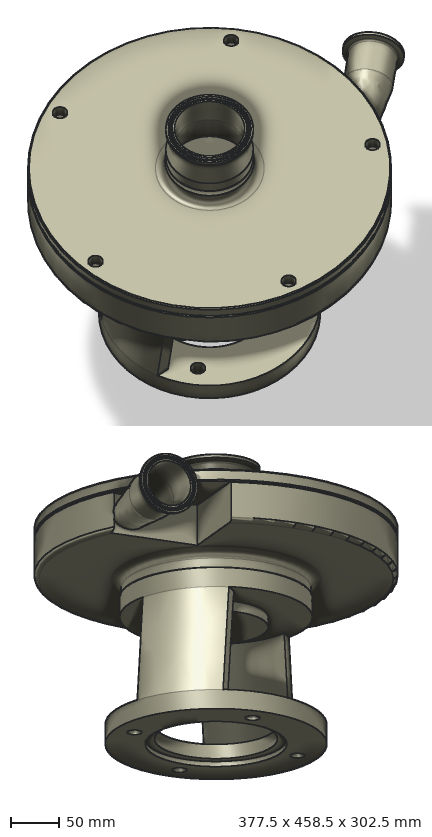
import cadquery as cq
import math

foot_top_z = 21.0
ring_bottom_z = 139.0
ring_top_z = 160.0
boss_bottom_z = 128.0
casing_bottom_z = 181.0
lid_bottom_z = 225.0
lid_top_z = 237.5
collar_top_z = 249.0
groove_z = 252.5
reducer_bottom_z = 255.0
reducer_shoulder_z = 268.0
reducer_neck_z = 288.5
inlet_top_z = 302.5

casing_diameter = 377.5
casing_radius = casing_diameter / 2
casing_bottom_fillet = 4.5
joint_chamfer = 1.5
neck_radius = 98.5
neck_fillet = 10.0
boss_radius = 54.0

weld_collar_radius = 46.5
weld_collar_fillet = 10.0
weld_groove_radius = 42.5
reducer_radius = 45.5
inlet_tube_radius = 38.5
inlet_bore_diameter = 73.0
inlet_bore_radius = inlet_bore_diameter / 2
inlet_flange_radius = 45.5
inlet_flare_top_z = 272.5
inlet_flare_radius = 42.0

flange_rim = 3.5
flange_bevel_height = 1.5
flange_fillet = 2.0
flange_length = flange_rim + flange_bevel_height + flange_fillet
gasket_groove_inset = 2.5
gasket_groove_flat = 1.5
gasket_groove_depth = 1.5

bolt_count = 5
bolt_circle_radius = 172.0
bolt_hole_diameter = 15.0

outlet_angle = 135
outlet_offset = 145.0
outlet_z = (casing_bottom_z + lid_bottom_z) / 2
outlet_face_distance = 204.5
outlet_taper_distance = 160.0
outlet_end_distance = 92.0
outlet_tube_radius = 25.5
outlet_bore_radius = 24.5
outlet_flange_radius = 32.0
outlet_end_half_width = 20.0
outlet_end_half_height = 15.0

recess_near_offset = 62.5
recess_far_offset = 160.5

foot_radius = 115.0
ring_radius = 100.0
foot_bore_radius = 64.0
foot_register_radius = 73.5
foot_register_depth = 5.5
foot_hole_count = 4
foot_hole_circle_radius = 92.5
foot_hole_start_angle = 45
foot_hole_diameter = 15.0
leg_width = 95.5
leg_thickness = 12.5


def revolve_about_z(outline):
    return outline.close().revolve(360, (0, 0, 0), (0, 1, 0))


def arc_middle(radius):
    """Distance from either tangent line to the middle of a quarter-circle arc."""
    return radius * (1 - math.sqrt(0.5))


def clamp_flange(tube_radius, bore_radius, flange_radius):
    """Clamp flange, not yet bored, with its face at z = 0 and its tube side below."""
    bevel_end = -flange_rim - flange_bevel_height
    fillet_middle = arc_middle(flange_fillet)
    groove_inner = bore_radius + gasket_groove_inset
    groove_outer = flange_radius - gasket_groove_inset
    groove_middle = (groove_inner + groove_outer) / 2
    return revolve_about_z(
        cq.Workplane("XZ")
        .moveTo(0, 0)
        .lineTo(groove_inner, 0)
        .lineTo(groove_middle - gasket_groove_flat / 2, -gasket_groove_depth)
        .lineTo(groove_middle + gasket_groove_flat / 2, -gasket_groove_depth)
        .lineTo(groove_outer, 0)
        .lineTo(flange_radius, 0)
        .lineTo(flange_radius, -flange_rim)
        .lineTo(tube_radius + flange_fillet, bevel_end)
        .threePointArc(
            (tube_radius + fillet_middle, bevel_end - fillet_middle),
            (tube_radius, -flange_length),
        )
        .lineTo(0, -flange_length)
    )


def make_casing():
    neck_arc_middle = arc_middle(neck_fillet)
    rim_arc_middle = arc_middle(casing_bottom_fillet)
    return revolve_about_z(
        cq.Workplane("XZ")
        .moveTo(0, boss_bottom_z)
        .lineTo(boss_radius, boss_bottom_z)
        .lineTo(boss_radius, ring_top_z)
        .lineTo(neck_radius, ring_top_z)
        .lineTo(neck_radius, casing_bottom_z - neck_fillet)
        .threePointArc(
            (neck_radius + neck_arc_middle, casing_bottom_z - neck_arc_middle),
            (neck_radius + neck_fillet, casing_bottom_z),
        )
        .lineTo(casing_radius - casing_bottom_fillet, casing_bottom_z)
        .threePointArc(
            (casing_radius - rim_arc_middle, casing_bottom_z + rim_arc_middle),
            (casing_radius, casing_bottom_z + casing_bottom_fillet),
        )
        .lineTo(casing_radius, lid_bottom_z - joint_chamfer)
        .lineTo(casing_radius - joint_chamfer, lid_bottom_z)
        .lineTo(0, lid_bottom_z)
    )


def make_outlet_recess():
    return (
        cq.Workplane("XY")
        .box(
            casing_radius,
            recess_far_offset - recess_near_offset,
            lid_bottom_z - casing_bottom_z,
            centered=False,
        )
        .translate((outlet_end_distance, -recess_far_offset, casing_bottom_z))
        .rotate((0, 0, 0), (0, 0, 1), outlet_angle)
    )


def make_lid():
    lid = (
        cq.Workplane("XY", origin=(0, 0, lid_bottom_z))
        .circle(casing_radius)
        .extrude(lid_top_z - lid_bottom_z)
        .edges()
        .chamfer(joint_chamfer)
    )
    bolt_holes = (
        cq.Workplane("XY", origin=(0, 0, lid_bottom_z))
        .polarArray(bolt_circle_radius, outlet_angle, 360, bolt_count)
        .circle(bolt_hole_diameter / 2)
        .extrude(lid_top_z - lid_bottom_z)
    )
    return lid.cut(bolt_holes)


def make_inlet():
    collar_arc_middle = arc_middle(weld_collar_fillet)
    tube = revolve_about_z(
        cq.Workplane("XZ")
        .moveTo(0, lid_top_z)
        .lineTo(weld_collar_radius + weld_collar_fillet, lid_top_z)
        .threePointArc(
            (weld_collar_radius + collar_arc_middle, lid_top_z + collar_arc_middle),
            (weld_collar_radius, lid_top_z + weld_collar_fillet),
        )
        .lineTo(weld_collar_radius, collar_top_z)
        .lineTo(weld_groove_radius, groove_z)
        .lineTo(reducer_radius, reducer_bottom_z)
        .lineTo(reducer_radius, reducer_shoulder_z)
        .lineTo(inlet_tube_radius, reducer_neck_z)
        .lineTo(inlet_tube_radius, inlet_top_z - flange_length)
        .lineTo(0, inlet_top_z - flange_length)
    )
    bore = revolve_about_z(
        cq.Workplane("XZ")
        .moveTo(0, lid_top_z)
        .lineTo(inlet_flare_radius, lid_top_z)
        .lineTo(inlet_bore_radius, inlet_flare_top_z)
        .lineTo(inlet_bore_radius, inlet_top_z)
        .lineTo(0, inlet_top_z)
    )
    flange = clamp_flange(inlet_tube_radius, inlet_bore_radius, inlet_flange_radius)
    return tube.union(flange.translate((0, 0, inlet_top_z))).cut(bore)


def outlet_passage(length, inset):
    """Round rod ending at z = length, lofted down to an oval in the casing, all shrunk by inset."""
    radius = outlet_tube_radius - inset
    side_shift = outlet_tube_radius - outlet_end_half_width
    tube = (
        cq.Workplane("XY", origin=(0, 0, outlet_taper_distance))
        .circle(radius)
        .extrude(length - outlet_taper_distance)
    )
    taper = (
        cq.Workplane("XY", origin=(0, 0, outlet_taper_distance))
        .circle(radius)
        .workplane(offset=outlet_end_distance - outlet_taper_distance)
        .center(side_shift, 0)
        .ellipse(outlet_end_half_width - inset, outlet_end_half_height - inset)
        .loft(ruled=True)
    )
    return tube.union(taper)


def make_outlet():
    """Solid outlet and its bore, both in place on the casing."""
    flange = clamp_flange(outlet_tube_radius, outlet_bore_radius, outlet_flange_radius)
    flange = flange.translate((0, 0, outlet_face_distance))
    tube = outlet_passage(outlet_face_distance - flange_length, 0)
    bore = outlet_passage(outlet_face_distance, outlet_tube_radius - outlet_bore_radius)
    return place_outlet(tube.union(flange)), place_outlet(bore)


def place_outlet(shape):
    """Turn the outlet axis from +Z to the outlet direction, with local X across it and local Y up."""
    return (
        shape.rotate((0, 0, 0), (1, 1, 1), 120)
        .translate((0, -outlet_offset, outlet_z))
        .rotate((0, 0, 0), (0, 0, 1), outlet_angle)
    )


def make_pump():
    outlet, outlet_bore = make_outlet()
    return (
        make_casing()
        .cut(make_outlet_recess())
        .union(make_lid())
        .union(make_inlet())
        .union(outlet)
        .cut(outlet_bore)
    )


def leg_cone(inset):
    return revolve_about_z(
        cq.Workplane("XZ")
        .moveTo(0, foot_top_z)
        .lineTo(foot_radius - inset, foot_top_z)
        .lineTo(ring_radius - inset, ring_bottom_z)
        .lineTo(0, ring_bottom_z)
    )


def make_lantern():
    foot = (
        cq.Workplane("XY")
        .circle(foot_radius)
        .circle(foot_bore_radius)
        .extrude(foot_top_z)
    )
    foot_holes = (
        cq.Workplane("XY")
        .polarArray(foot_hole_circle_radius, foot_hole_start_angle, 360, foot_hole_count)
        .circle(foot_hole_diameter / 2)
        .extrude(foot_top_z)
    )
    register = (
        cq.Workplane("XY")
        .circle(foot_register_radius)
        .extrude(foot_register_depth)
    )
    ring = (
        cq.Workplane("XY", origin=(0, 0, ring_bottom_z))
        .circle(ring_radius)
        .circle(boss_radius)
        .extrude(ring_top_z - ring_bottom_z)
    )
    leg_slab = cq.Workplane("XY").box(
        leg_width, 2 * foot_radius, ring_bottom_z, centered=(True, True, False)
    )
    legs = leg_cone(0).cut(leg_cone(leg_thickness)).intersect(leg_slab)
    return foot.cut(foot_holes).cut(register).union(legs).union(ring)


pump = make_pump()
lantern = make_lantern()

result = cq.Compound.makeCompound([pump.val(), lantern.val()])